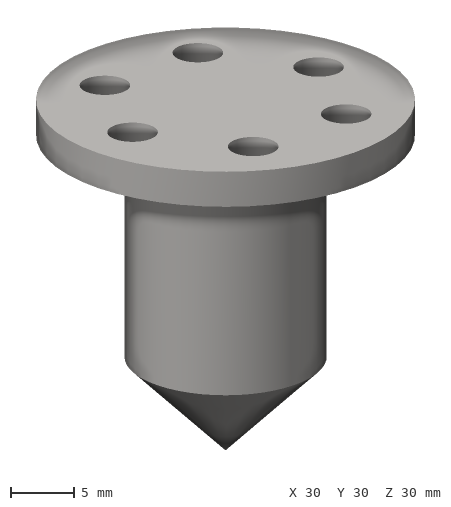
import cadquery as cq

total_height = 30.0
flange_diameter = 30.0
flange_thickness = 3.0
shaft_diameter = 16.0
hole_diameter = 4.0
hole_count = 6

flange_radius = flange_diameter / 2
shaft_radius = shaft_diameter / 2
tip_height = shaft_radius
hole_circle_radius = shaft_radius + hole_diameter / 2
first_hole_angle = 90.0
full_turn = 360.0

flange_top = total_height
flange_bottom = flange_top - flange_thickness


def make_body():
    """Revolve the flange, shaft and pointed tip about the Z axis."""
    return (
        cq.Workplane("XZ")
        .moveTo(0, 0)
        .lineTo(shaft_radius, tip_height)
        .lineTo(shaft_radius, flange_bottom)
        .lineTo(flange_radius, flange_bottom)
        .lineTo(flange_radius, flange_top)
        .lineTo(0, flange_top)
        .close()
        .revolve(full_turn, (0, 0, 0), (0, 1, 0))
    )


def make_flange_holes():
    """Ring of round holes running through the flange."""
    return (
        cq.Workplane("XY")
        .workplane(offset=flange_bottom)
        .polarArray(hole_circle_radius, first_hole_angle, full_turn, hole_count)
        .circle(hole_diameter / 2)
        .extrude(flange_thickness)
    )


result = make_body().cut(make_flange_holes())